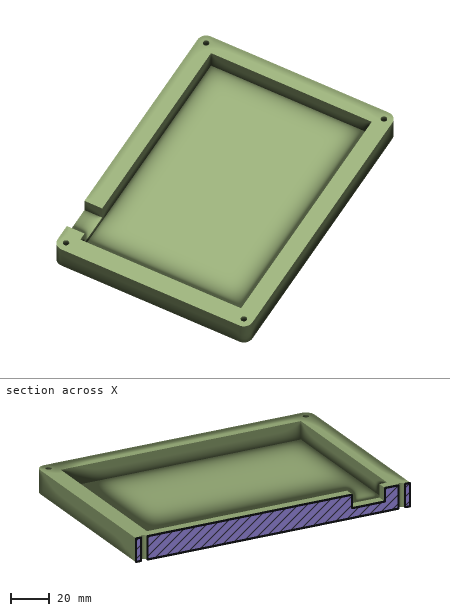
import cadquery as cq

width = 114.0
length = 159.7
height = 13.3
corner_radius = 5.0

left_wall = 10.4
right_wall = 9.6
front_wall = 10.4
back_wall = 9.6
pocket_depth = 10.2

notch_width = 18.8
notch_depth = 7.5
notch_front = 14.9

hole_diameter = 3.4


def box_below_top(x_start, y_start, x_size, y_size, depth):
    """Box that reaches down from the top face by the given depth."""
    corner = (x_start, y_start, height - depth)
    return cq.Workplane("XY").box(x_size, y_size, depth, centered=False).translate(corner)


def tray_block():
    """Solid block with its front left bottom corner at the origin and rounded vertical edges."""
    block = cq.Workplane("XY").box(width, length, height, centered=False)
    return block.edges("|Z").fillet(corner_radius)


def pocket():
    pocket_width = width - left_wall - right_wall
    pocket_length = length - front_wall - back_wall
    return box_below_top(left_wall, front_wall, pocket_width, pocket_length, pocket_depth)


def cable_notch():
    return box_below_top(0, notch_front, left_wall, notch_width, notch_depth)


def screw_holes():
    centers = [
        (x, y)
        for x in (corner_radius, width - corner_radius)
        for y in (corner_radius, length - corner_radius)
    ]
    return cq.Workplane("XY").pushPoints(centers).circle(hole_diameter / 2).extrude(height)


result = tray_block().cut(pocket()).cut(cable_notch()).cut(screw_holes())